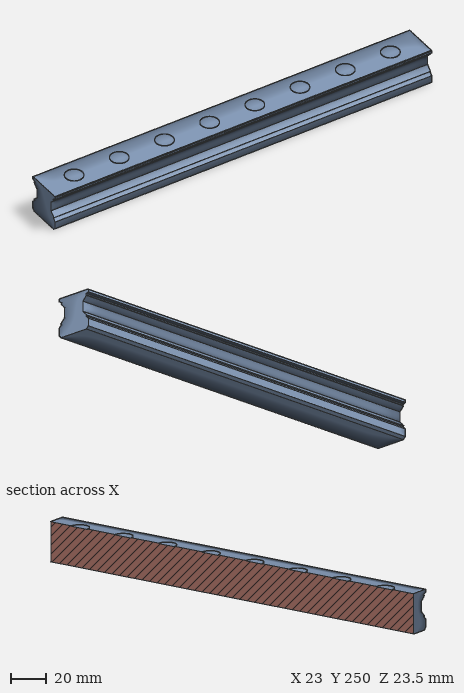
import cadquery as cq

length = 250.0
width = 23.0
height = 23.5
side = width / 2
top = height / 2
bottom = -top

top_chamfer = 0.38
lip_bottom = 10.0
web_half_width = 7.2
web_top = 5.5
web_bottom = -0.5
foot_chamfer = 1.5

upper_race_rise = 2.8
lower_race_drop = 3.0

upper_relief_step = 0.5
upper_relief_width = 0.5
upper_relief_height = 0.62
lower_relief_step = 0.5

cap_diameter = 11.0
cap_recess = 0.2
cap_count = 8
cap_pitch = 30.0


def right_half_outline():
    """Points of the +X half of the section, from top to bottom."""
    upper_edge_x = web_half_width + upper_race_rise
    upper_edge_z = web_top + upper_race_rise
    upper_inner_x = upper_edge_x - upper_relief_step
    upper_inner_z = upper_edge_z + upper_relief_step

    lower_edge_x = web_half_width + lower_race_drop
    lower_edge_z = web_bottom - lower_race_drop
    lower_inner_x = lower_edge_x - lower_relief_step
    lower_inner_z = lower_edge_z - lower_relief_step
    foot_top = lower_inner_z - (side - lower_inner_x)

    return [
        (side - top_chamfer, top),
        (side, top - top_chamfer),
        (side, lip_bottom),
        (upper_inner_x + upper_relief_width, upper_inner_z + upper_relief_height),
        (upper_inner_x, upper_inner_z),
        (upper_edge_x, upper_edge_z),
        (web_half_width, web_top),
        (web_half_width, web_bottom),
        (lower_edge_x, lower_edge_z),
        (lower_inner_x, lower_inner_z),
        (side, foot_top),
        (side, bottom + foot_chamfer),
        (side - foot_chamfer, bottom),
    ]


def make_rail():
    right_half = right_half_outline()
    left_half = [(-x, z) for x, z in reversed(right_half)]
    section = cq.Workplane("XZ").polyline(right_half + left_half).close()
    return section.extrude(length / 2, both=True)


def make_cap_recesses():
    return (
        cq.Workplane("XY", origin=(0, 0, top - cap_recess))
        .rarray(2.5, cap_pitch, 1, cap_count)
        .circle(cap_diameter / 2)
        .extrude(cap_recess)
    )


result = make_rail().cut(make_cap_recesses())